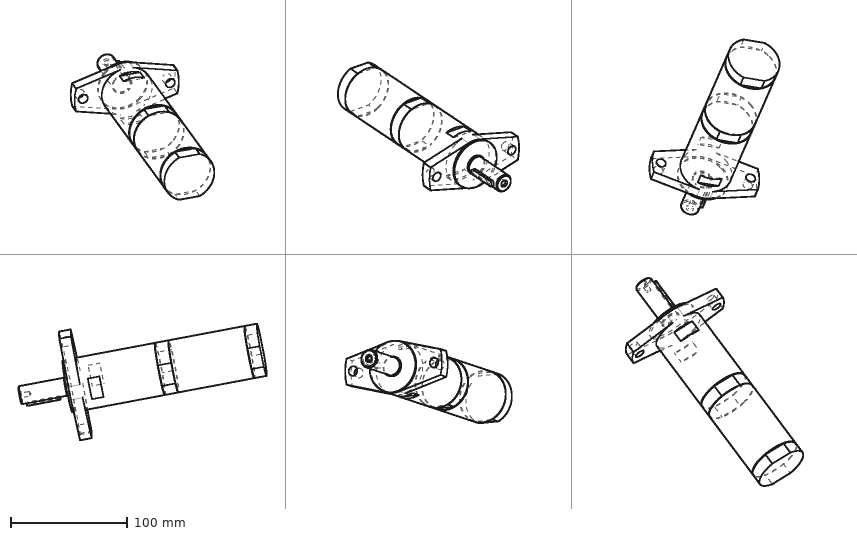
import cadquery as cq
import math


shaft_diameter = 16.0
shaft_chamfer = 0.95
collar_diameter = 17.5
collar_start = 40.2
collar_chamfer = 0.6
centre_hole_diameter = 4.0
centre_hole_depth = 8.5
drill_point_angle = 120
countersink_diameter = 6.4

key_start = 4.2
key_length = 30.0
key_width = 5.0
key_top = 10.0

overall_length = 212.5
body_diameter = 46.0
body_start = 41.9
body_chamfer = 0.5
flat_spacing = 41.9
pilot_diameter = 45.0
front_flats = (61.6, 71.8)
middle_flats = (123.2, 134.7)
rear_flats = (201.9, overall_length)

flange_start = 43.8
flange_thickness = 10.2
flange_width = 95.6
flange_end_height = 22.7
mounting_hole_diameter = 8.3
mounting_hole_offset = 40.0

body_radius = body_diameter / 2
cutter_margin = 2.1


def cylinder(diameter, start, end):
    """Round bar on the X axis between two X positions."""
    return cq.Workplane("YZ", origin=(start, 0, 0)).circle(diameter / 2).extrude(end - start)


def make_shaft():
    shaft = cylinder(shaft_diameter, 0, body_start).faces("<X").chamfer(shaft_chamfer)
    collar = cylinder(collar_diameter, collar_start, body_start).faces("<X").chamfer(collar_chamfer)
    return shaft.union(collar)


def make_centre_hole():
    """Blind drilled hole in the shaft tip with a 90 degree countersink."""
    hole_radius = centre_hole_diameter / 2
    drill_point_length = hole_radius / math.tan(math.radians(drill_point_angle / 2))
    countersink_radius = countersink_diameter / 2
    countersink_depth = countersink_radius - hole_radius
    profile = (
        cq.Workplane("XY")
        .lineTo(0, countersink_radius)
        .lineTo(countersink_depth, hole_radius)
        .lineTo(centre_hole_depth, hole_radius)
        .lineTo(centre_hole_depth + drill_point_length, 0)
        .close()
    )
    return profile.revolve(360, (0, 0, 0), (1, 0, 0))


def make_key():
    """Round-ended key rising from the shaft axis to its top face."""
    return (
        cq.Workplane("XZ", origin=(key_start + key_length / 2, 0, 0))
        .slot2D(key_length, key_width)
        .extrude(-key_top)
    )


def make_shoulder_chamfer_cutter(position, direction):
    """Ring cutter that chamfers the body shoulder at an X position, on the side given by direction."""
    profile = (
        cq.Workplane("XY")
        .moveTo(position, body_radius - body_chamfer)
        .lineTo(position + direction * body_chamfer, body_radius)
        .lineTo(position + direction * body_chamfer, body_radius + cutter_margin)
        .lineTo(position, body_radius + cutter_margin)
        .close()
    )
    return profile.revolve(360, (0, 0, 0), (1, 0, 0))


def make_flat_cutter(start, end):
    """Frame that leaves wrench flats on the +Z and -Z sides of one length of the body."""
    length = end - start
    outer_size = body_diameter + 2 * cutter_margin
    centre = cq.Workplane("XY", origin=(start + length / 2, 0, 0))
    return centre.box(length, outer_size, outer_size).cut(centre.box(length, outer_size, flat_spacing))


def make_body():
    pilot = cylinder(pilot_diameter, body_start, flange_start)
    body = cylinder(body_diameter, flange_start, overall_length).union(pilot)
    body = body.cut(make_shoulder_chamfer_cutter(middle_flats[0], -1))
    body = body.cut(make_shoulder_chamfer_cutter(middle_flats[1], 1))
    body = body.cut(make_shoulder_chamfer_cutter(rear_flats[0], -1))
    for start, end in (front_flats, middle_flats, rear_flats):
        body = body.cut(make_flat_cutter(start, end))
    return body


def make_flange():
    """Flange with arc ends about the axis and sloping sides tangent to the body."""
    end_radius = flange_width / 2
    end_z = flange_end_height / 2
    end_y = math.sqrt(end_radius**2 - end_z**2)
    tangent_angle = math.atan2(end_z, end_y) + math.acos(body_radius / end_radius)
    tangent_y = body_radius * math.cos(tangent_angle)
    tangent_z = body_radius * math.sin(tangent_angle)
    return (
        cq.Workplane("YZ", origin=(flange_start, 0, 0))
        .moveTo(end_y, -end_z)
        .threePointArc((end_radius, 0), (end_y, end_z))
        .lineTo(tangent_y, tangent_z)
        .threePointArc((0, body_radius), (-tangent_y, tangent_z))
        .lineTo(-end_y, end_z)
        .threePointArc((-end_radius, 0), (-end_y, -end_z))
        .lineTo(-tangent_y, -tangent_z)
        .threePointArc((0, -body_radius), (tangent_y, -tangent_z))
        .close()
        .extrude(flange_thickness)
        .faces("<X")
        .workplane(origin=(flange_start, 0, 0))
        .pushPoints([(-mounting_hole_offset, 0), (mounting_hole_offset, 0)])
        .hole(mounting_hole_diameter)
    )


result = make_body().union(make_flange()).union(make_shaft()).union(make_key()).cut(make_centre_hole())